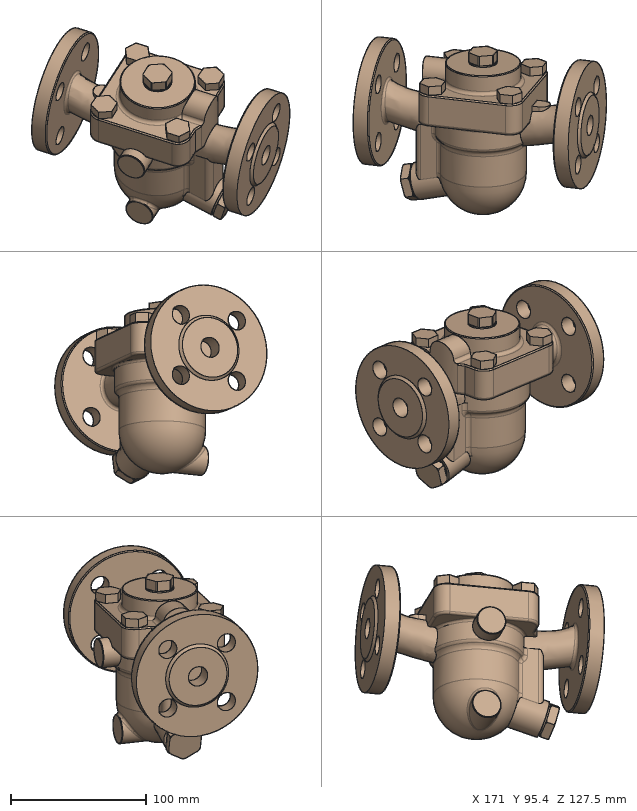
import cadquery as cq
import math


face_to_face = 171.0
flange_diameter = 95.0
flange_thickness = 12.0
flange_chamfer = 0.9
raised_face_height = 2.0
raised_face_diameter = 45.1
raised_face_base_diameter = 49.2
bore_diameter = 15.0
flange_hole_diameter = 14.0
flange_hole_spacing = 45.8

neck_width = 27.0
neck_fillet = 2.4
neck_stations = ((27.4, -22.2, 9.4), (43.6, -19.8, 10.3), (56.5, -17.0, 11.8))
neck_flange_bottom = -13.7
neck_flange_top = 18.1

body_x = -2.5
plate_side = 80.0
bolt_spacing = 59.8
plate_corner_radius = (plate_side - bolt_spacing) / 2
cover_top = 25.5
split_z = 12.7
body_plate_bottom = 0.7
cover_chamfer = 1.0
body_plate_fillet = 1.9

lug_reach = 45.0
lug_root_half_width = 20.2
lug_half_width = 15.0
hump_radius = 12.0
hump_axis_z = 27.5

cap_diameter = 56.0
cap_top = 40.5
cap_base_fillet = 2.7
cap_edge_chamfer = 0.7
bolt_flats = 17.0
bolt_height = 6.8
plug_flats = 19.2
plug_corner_diameter = 21.5
plug_collar_diameter = 21.0
plug_collar_height = 1.0
plug_top = 49.2

collar_radius = 35.5
collar_bottom = -15.2
collar_top_fillet = 1.9
shoulder_bend_share = 0.35
bowl_radius = 32.1
bowl_shoulder_z = -22.0
bowl_center_z = -46.2

boss_diameter = 22.0
boss_chamfer = 0.5
upper_boss_z = -5.0
upper_boss_face_y = -47.9
lower_boss_z = -66.0
lower_boss_face_y = -33.0
lower_boss_fillet = 2.2

strainer_tilt = 15.0
strainer_diameter = 28.0
strainer_length = 52.5
strainer_collar_diameter = 24.0
strainer_collar_height = 1.4
strainer_hex_flats = 24.8
strainer_hex_height = 6.8
strainer_hex_chamfer = 0.9
rib_width = 26.3
rib_outer_x = 46.5
rib_top = -9.2
rib_edge_radius = 4.8
rib_root_fillet = 4.1

pad_width = 12.7
pad_reach_x = -54.4
pad_bottom = 6.8


def hexagon_diameter(flats):
    """Diameter across corners of a hexagon given its size across flats."""
    return flats / math.cos(math.pi / 6)


def cylinder_z(diameter, bottom, top):
    return cq.Workplane("XY", origin=(body_x, 0, bottom)).circle(diameter / 2).extrude(top - bottom)


def neck_section(x, bottom, top):
    """Elliptical wire across the pipe neck at a given X."""
    plane = cq.Plane(origin=(x, 0, (top + bottom) / 2), xDir=(0, 1, 0), normal=(1, 0, 0))
    return cq.Workplane(plane).ellipse(neck_width / 2, (top - bottom) / 2).wires().val()


def pipe_end():
    """Flange, raised face and pipe neck on the +X end."""
    flange_back = face_to_face / 2 - raised_face_height - flange_thickness
    flange = (
        cq.Workplane("YZ", origin=(flange_back, 0, 0))
        .circle(flange_diameter / 2)
        .extrude(flange_thickness)
        .faces("<X").edges().chamfer(flange_chamfer)
    )
    raised_face = (
        cq.Workplane("YZ", origin=(flange_back + flange_thickness, 0, 0))
        .circle(raised_face_base_diameter / 2)
        .workplane(offset=raised_face_height)
        .circle(raised_face_diameter / 2)
        .loft()
    )
    sections = [neck_section(*station) for station in neck_stations]
    sections.append(neck_section(flange_back, neck_flange_bottom, neck_flange_top))
    neck = cq.Workplane(cq.Solid.makeLoft(sections, False))
    end = neck.union(flange).union(raised_face)
    root = cq.selectors.BoxSelector(
        (flange_back - flange_chamfer, -neck_width, -neck_width),
        (flange_back + flange_chamfer, neck_width, neck_width),
        boundingbox=True,
    )
    end = end.edges(root).fillet(neck_fillet)
    holes = (
        cq.Workplane("YZ", origin=(flange_back, 0, 0))
        .rect(flange_hole_spacing, flange_hole_spacing, forConstruction=True)
        .vertices()
        .circle(flange_hole_diameter / 2)
        .extrude(flange_thickness)
    )
    bore = (
        cq.Workplane("YZ", origin=(flange_back, 0, 0))
        .circle(bore_diameter / 2)
        .extrude(flange_thickness + raised_face_height)
    )
    return end.cut(holes).cut(bore)


def plate(bottom, top):
    """Square plate with rounded corners and the outlet lug on its +X side."""
    square = (
        cq.Workplane("XY", origin=(body_x, 0, bottom))
        .rect(plate_side, plate_side)
        .extrude(top - bottom)
        .edges("|Z").fillet(plate_corner_radius)
    )
    lug_side_x = math.sqrt(lug_reach**2 - lug_half_width**2)
    lug = (
        cq.Workplane("XY", origin=(body_x, 0, bottom))
        .moveTo(0, -lug_root_half_width)
        .lineTo(plate_side / 2, -lug_root_half_width)
        .lineTo(lug_side_x, -lug_half_width)
        .threePointArc((lug_reach, 0), (lug_side_x, lug_half_width))
        .lineTo(plate_side / 2, lug_root_half_width)
        .lineTo(0, lug_root_half_width)
        .close()
        .extrude(top - bottom)
    )
    return square.union(lug)


def outlet_hump():
    """Rounded passage from the cap to the end of the lug, flaring into the cover along both sides."""
    rise = hump_axis_z - cover_top
    flare = (lug_half_width**2 + rise**2 - hump_radius**2) / (2 * (hump_radius + rise))
    tangent_y = lug_half_width * hump_radius / (hump_radius + flare)
    tangent_z = hump_axis_z + (flare - rise) * hump_radius / (hump_radius + flare)
    hump = (
        cq.Workplane("YZ", origin=(body_x, 0, 0))
        .moveTo(-lug_half_width, split_z)
        .lineTo(lug_half_width, split_z)
        .lineTo(lug_half_width, cover_top)
        .radiusArc((tangent_y, tangent_z), flare)
        .threePointArc((0, hump_axis_z + hump_radius), (-tangent_y, tangent_z))
        .radiusArc((-lug_half_width, cover_top), flare)
        .close()
        .extrude(plate_side)
    )
    return hump.intersect(cylinder_z(2 * lug_reach, split_z, plug_top))


def cap():
    radius = cap_diameter / 2
    foot_radius = radius + cap_base_fillet
    arc_offset = cap_base_fillet * (1 - math.sqrt(0.5))
    return (
        cq.Workplane("XZ", origin=(body_x, 0, 0))
        .moveTo(0, split_z)
        .lineTo(foot_radius, split_z)
        .lineTo(foot_radius, cover_top)
        .threePointArc((radius + arc_offset, cover_top + arc_offset), (radius, cover_top + cap_base_fillet))
        .lineTo(radius, cap_top - cap_edge_chamfer)
        .lineTo(radius - cap_edge_chamfer, cap_top)
        .lineTo(0, cap_top)
        .close()
        .revolve(360, (0, 0, 0), (0, 1, 0))
    )


def top_plug():
    """Hexagon head with trimmed corners on a thin collar."""
    collar_top = cap_top + plug_collar_height
    head = (
        cq.Workplane("XY", origin=(body_x, 0, collar_top))
        .transformed(rotate=(0, 0, 90))
        .polygon(6, hexagon_diameter(plug_flats))
        .extrude(plug_top - collar_top)
        .intersect(cylinder_z(plug_corner_diameter, collar_top, plug_top))
    )
    return head.union(cylinder_z(plug_collar_diameter, cap_top, collar_top))


def cover_bolts():
    """Four corner bolt heads; diagonal pairs share the same orientation."""
    bolts = cq.Workplane("XY")
    half = bolt_spacing / 2
    for side_x in (-1, 1):
        for side_y in (-1, 1):
            turn = 90 if side_x == side_y else 0
            head = (
                cq.Workplane("XY", origin=(body_x + side_x * half, side_y * half, cover_top))
                .transformed(rotate=(0, 0, turn))
                .polygon(6, hexagon_diameter(bolt_flats))
                .extrude(bolt_height)
            )
            bolts = bolts.union(head)
    return bolts


def bowl():
    """Collar, rounded shoulder, straight wall and hemispherical bottom."""
    bend_radius = collar_radius + (bowl_radius - collar_radius) * shoulder_bend_share
    bend_z = collar_bottom + (bowl_shoulder_z - collar_bottom) * shoulder_bend_share
    top_radius = collar_radius + collar_top_fillet
    return (
        cq.Workplane("XZ", origin=(body_x, 0, 0))
        .moveTo(0, split_z)
        .lineTo(top_radius, split_z)
        .lineTo(top_radius, body_plate_bottom)
        .radiusArc((collar_radius, body_plate_bottom - collar_top_fillet), -collar_top_fillet)
        .lineTo(collar_radius, collar_bottom)
        .tangentArcPoint((bend_radius, bend_z), relative=False)
        .tangentArcPoint((bowl_radius, bowl_shoulder_z), relative=False)
        .lineTo(bowl_radius, bowl_center_z)
        .radiusArc((0, bowl_center_z - bowl_radius), bowl_radius)
        .close()
        .revolve(360, (0, 0, 0), (0, 1, 0))
    )


def front_boss(z, face_y):
    return (
        cq.Workplane("XZ", origin=(body_x, 0, z))
        .circle(boss_diameter / 2)
        .extrude(-face_y)
        .faces("<Y").edges().chamfer(boss_chamfer)
    )


def strainer_plane(distance):
    """Plane across the inclined axis, measured from the centre of the bowl's hemisphere."""
    tilt = math.radians(strainer_tilt)
    axis = cq.Vector(math.cos(tilt), 0, -math.sin(tilt))
    center = cq.Vector(body_x, 0, bowl_center_z) + axis * distance
    return cq.Plane(origin=center, xDir=(math.sin(tilt), 0, math.cos(tilt)), normal=axis)


def strainer():
    boss = cq.Workplane(strainer_plane(0)).circle(strainer_diameter / 2).extrude(strainer_length)
    collar = (
        cq.Workplane(strainer_plane(strainer_length))
        .circle(strainer_collar_diameter / 2)
        .extrude(strainer_collar_height)
    )
    corner_diameter = hexagon_diameter(strainer_hex_flats)
    head_plane = strainer_plane(strainer_length + strainer_collar_height)
    head = cq.Workplane(head_plane).polygon(6, corner_diameter).extrude(strainer_hex_height)
    rounding = (
        cq.Workplane(head_plane)
        .circle(corner_diameter / 2)
        .extrude(strainer_hex_height)
        .edges().chamfer(strainer_hex_chamfer)
    )
    return boss.union(collar).union(head.intersect(rounding))


def rib():
    """Rib from the collar down to the axis of the strainer boss."""
    drop = (rib_outer_x - body_x) * math.tan(math.radians(strainer_tilt))
    return (
        cq.Workplane("XZ", origin=(0, rib_width / 2, 0))
        .moveTo(body_x, rib_top)
        .lineTo(rib_outer_x, rib_top)
        .lineTo(rib_outer_x, bowl_center_z - drop)
        .lineTo(body_x, bowl_center_z)
        .close()
        .extrude(rib_width)
        .edges("|Z and >X").fillet(rib_edge_radius)
    )


def inlet_pad():
    length = body_x - pad_reach_x - pad_width / 2
    end = cq.Workplane("XY", origin=(pad_reach_x + pad_width / 2, 0, pad_bottom)).circle(pad_width / 2)
    bar = cq.Workplane("XY", origin=(body_x - length / 2, 0, pad_bottom)).rect(length, pad_width)
    height = split_z - pad_bottom
    return end.extrude(height).union(bar.extrude(height))


outlet_end = pipe_end()
inlet_end = outlet_end.mirror("YZ")
cover = plate(split_z, cover_top).faces(">Z").edges().chamfer(cover_chamfer)
body_plate = plate(body_plate_bottom, split_z).faces("<Z").edges().fillet(body_plate_fillet)

result = bowl().union(front_boss(lower_boss_z, lower_boss_face_y))
boss_root = cq.selectors.BoxSelector(
    (body_x - boss_diameter, lower_boss_face_y + boss_diameter / 3, lower_boss_z - boss_diameter),
    (body_x + boss_diameter, 0, bowl_center_z - boss_diameter / 4),
)
result = result.edges(boss_root).fillet(lower_boss_fillet)
result = result.union(rib())
rib_root = cq.selectors.BoxSelector(
    (body_x + bowl_radius / 2, -rib_width, bowl_center_z + boss_diameter / 4),
    (body_x + bowl_radius, rib_width, bowl_shoulder_z - boss_diameter / 4),
)
result = result.edges(rib_root).fillet(rib_root_fillet)

features = (
    strainer(), front_boss(upper_boss_z, upper_boss_face_y), body_plate, cover,
    outlet_hump(), cap(), top_plug(), cover_bolts(), inlet_pad(), inlet_end, outlet_end,
)
for feature in features:
    result = result.union(feature)